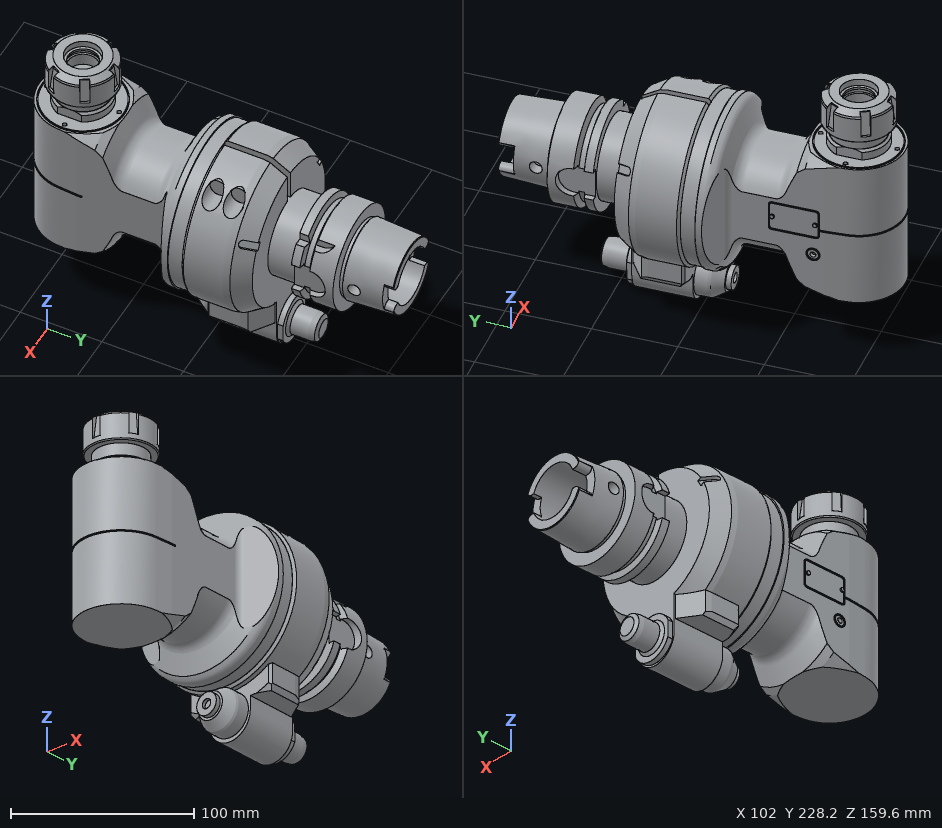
import cadquery as cq
import math


SHANK_END_Y = 201.2
RING_BACK_Y = 126.1
RING_FRONT_Y = 86.0

TAPER_SMALL_R = 23.0
TAPER_LARGE_R = 24.5
TAPER_FRONT_Y = 171.5
TAPER_EDGE_CHAMFER = 0.5
NECK_R = 23.5
FLANGE_R = 31.5
FLANGE_BACK_Y = 169.3
FLANGE_FRONT_Y = 143.0
GRIP_GROOVE_R = 27.5
GRIP_GROOVE_BACK_Y = 152.5
GRIP_GROOVE_FRONT_Y = 149.5
GRIP_GROOVE_CHAMFER_BACK = 1.8
GRIP_GROOVE_CHAMFER_FRONT = 1.1
SHANK_D = 50.5
SHANK_R = SHANK_D / 2
TAIL_BORE_R = 17.0
TAIL_BORE_DEPTH = 29.7
CROSS_HOLE_D = 7.5
CROSS_HOLE_Y = 178.4
DRIVE_SLOT_W = 12.5
DRIVE_SLOT_EDGE_R = 3.2
DRIVE_SLOT_DEPTH_LEFT = 9.5
DRIVE_SLOT_DEPTH_RIGHT = 5.7
KEYWAY_W = 18.2
KEYWAY_FLOOR_X = 26.5
KEYWAY_TIP_Y = 164.5
NOTCH_FLOOR_X = 19.8
NOTCH_FLOOR_Z = 19.8
NOTCH_TIP_Y = 165.8

RING_D = 102.0
RING_R = RING_D / 2
RING_BACK_R = 43.8
RING_CONE_R = 50.2
RING_CONE_FRONT_Y = 115.6
RING_ROUND_FRONT_Y = 111.5
RING_CHAMFER = 1.5
SPLIT_W = 3.6
SCREW_YS = (108.1, 95.1)
SCREW_Z = 40.5
SCREW_HOLE_D = 11.0
SCREW_HOLE_FLOOR_X = 18.2
SCREW_HEAD_D = 10.5
SCREW_HEAD_END_X = 23.5
SCREW_D = 6.0
CONE_SLOT_W = 5.0
CONE_SLOT_LENGTH = 10.5
CONE_SLOT_DEPTH = 2.3
CONE_SLOT_ANGLES = (30, 150)
LUG_HALF_W = 29.5
LUG_BACK_HALF_W = 13.7
LUG_FRONT_Y = 90.8
LUG_BOTTOM_Z = -57.5
LUG_TOP_Z = -32.0
LUG_CHAMFER = 1.5
LUG_CORNER_CHAMFER_X = 2.0
LUG_CORNER_CHAMFER_Z = 3.5
LUG_FACE_R = 60.7
LUG_CORNER_R = 65.0
BOSS_R = 14.8
BOSS_Z = -66.1

PIN_Z = -65.0
PIN_ROD_R = 9.0
PIN_TIP_Y = 71.5
PIN_TIP_R = 7.0
PIN_CONE_FRONT_Y = 74.5
PIN_CONE_FRONT_R = 8.7
PIN_CONE_BACK_Y = 81.2
PIN_CONE_BACK_R = 13.0
PIN_HEAD_FRONT_Y = 82.8
PIN_HEAD_R = 13.5
PIN_COLLAR_R = 14.5
PIN_COLLAR_T = 3.5
PIN_COLLAR_FLATS = 27.0
PIN_SHOULDER_R = 10.7
PIN_SHOULDER_T = 1.8
PIN_ROD_END_Y = 142.5
PIN_END_CONE_R = 8.2
PIN_END_CONE_Y = 146.0
PIN_END_FACE_R = 5.7
PIN_END_Y = 147.4
PIN_SOCKET_D = 6.0
PIN_SOCKET_DEPTH = 2.3

HEAD_HALF_W = 27.8
HEAD_HALF_H = 45.0
HEAD_FRONT_R = 27.0
HEAD_SIDE_FRONT_Y = 10.3
HEAD_NECK_R = 32.0
HEAD_COLLAR_R = 50.2
HEAD_RECESS_R = 49.3
HEAD_BULGE_R = 53.5
COLLAR_STEP_Y = 77.3
COLLAR_FRONT_Y = 73.5
COLLAR_ROUND_MID = (49.3, 71.0)
COLLAR_CONE_BACK = (47.0, 68.7)
COLLAR_CONE_FRONT = (35.5, 63.6)
NECK_BACK_MID = (32.8, 61.0)
NECK_BACK_Y = 57.0
NECK_FRONT_Y = 38.5
NECK_FRONT_MID = (33.0, 34.7)
FRONT_CONE_START = (36.5, 31.7)
FRONT_CONE_BEND = (45.6, 26.2)
FRONT_CONE_END = (48.5, 21.5)
BULGE_MID = (51.0, 11.2)
SIDE_BACK_Y = 63.6
SIDE_FILLET_MID_DX = 1.0
SIDE_FILLET_MID_Y = 65.7
SIDE_FACET_DX = 3.0
SIDE_FACET_FRONT_Y = 67.0
SIDE_FACET_BACK_Y = 73.7
ENGRAVING_W = 0.7
ENGRAVING_DEPTH = 0.5
COVER_GROOVE_R = 25.3
COVER_HOLE_D = 2.5
COVER_HOLE_R = 22.1
COVER_HOLE_DEPTH = 2.3
PLATE_FRONT_Y = 13.2
PLATE_BACK_Y = 42.7
PLATE_TOP_Z = 12.8
PLATE_BOTTOM_Z = -5.7
PLATE_CORNER_R = 2.0
RIVET_D = 2.5
RIVET_H = 1.0
RIVET_INSET = 2.3
PLUG_D = 8.0
PLUG_SOCKET_D = 3.2
PLUG_SOCKET_DEPTH = 2.3
PLUG_Y = 16.9
PLUG_Z = -16.9

SPINDLE_COLLAR_R = 17.8
SPINDLE_COLLAR_TOP_Z = 51.3
SPINDLE_CHAMFER = 1.4
SPINDLE_NECK_R = 16.2
NUT_R = 21.0
NUT_BOTTOM_Z = 58.8
NUT_TOP_Z = 78.7
NUT_FACE_R = 16.5
NUT_CONE_R = 20.5
NUT_CONE_BOTTOM_Z = 76.0
NUT_SIDE_TOP_Z = 74.8
NUT_BOTTOM_CHAMFER = 0.7
NUT_BORE_R = 10.7
NUT_BORE_DEPTH = 4.0
COLLET_D = 18.0
COLLET_LIP_DEPTH = 5.5
COLLET_GROOVE_R = 10.3
COLLET_GROOVE_DEPTH = 8.2
COLLET_DEPTH = 16.0
NUT_SLOT_COUNT = 6
NUT_SLOT_W = 5.5
NUT_SLOT_TOP_Z = 77.5
NUT_SLOT_BOTTOM_Z = 62.7
NUT_SLOT_TOP_R = 17.3
NUT_SLOT_BOTTOM_R = 19.6


def box(x0, x1, y0, y1, z0, z1):
    """Box between two values along each axis."""
    return cq.Workplane("XY").box(x1 - x0, y1 - y0, z1 - z0, centered=False).translate((x0, y0, z0))


def rod(start, direction, radius, length):
    """Cylinder from a start point along a direction."""
    return cq.Workplane(cq.Solid.makeCylinder(radius, length, cq.Vector(*start), cq.Vector(*direction)))


def turn_about_y(points):
    """Solid of revolution about Y from (radius, y) points."""
    return cq.Workplane("XY").polyline(points).close().revolve(360, (0, 0, 0), (0, 1, 0))


def pocket_with_round_end(tip_y, front_y, width):
    """Outline in the YZ plane of a slot centred on Z = 0, open at front_y and round at tip_y."""
    half = width / 2
    center_y = tip_y - half
    return (
        cq.Workplane("YZ")
        .moveTo(front_y, -half)
        .lineTo(center_y, -half)
        .threePointArc((tip_y, 0), (center_y, half))
        .lineTo(front_y, half)
        .close()
    )


def drive_slot(side, depth):
    """Cutter for a slot in the tail end, with rounded outer edges; side is -1 or 1 along X."""
    half = DRIVE_SLOT_W / 2
    flare = half + DRIVE_SLOT_EDGE_R
    outer_x = math.sqrt(TAPER_SMALL_R**2 - flare**2)
    inner_x = outer_x - DRIVE_SLOT_EDGE_R
    mid = DRIVE_SLOT_EDGE_R * math.sqrt(0.5)
    cutter = (
        cq.Workplane("XZ", origin=(0, SHANK_END_Y - depth, 0))
        .moveTo(0, -half)
        .lineTo(side * inner_x, -half)
        .threePointArc((side * (inner_x + mid), mid - flare), (side * outer_x, -flare))
        .lineTo(side * FLANGE_R, -flare)
        .lineTo(side * FLANGE_R, flare)
        .lineTo(side * outer_x, flare)
        .threePointArc((side * (inner_x + mid), flare - mid), (side * inner_x, half))
        .lineTo(0, half)
        .close()
    )
    return cutter.extrude(-depth)


def make_shank():
    shank = turn_about_y([
        (0, RING_FRONT_Y),
        (SHANK_R, RING_FRONT_Y),
        (SHANK_R, FLANGE_FRONT_Y),
        (FLANGE_R, FLANGE_FRONT_Y),
        (FLANGE_R, GRIP_GROOVE_FRONT_Y - GRIP_GROOVE_CHAMFER_FRONT),
        (GRIP_GROOVE_R, GRIP_GROOVE_FRONT_Y),
        (GRIP_GROOVE_R, GRIP_GROOVE_BACK_Y),
        (FLANGE_R, GRIP_GROOVE_BACK_Y + GRIP_GROOVE_CHAMFER_BACK),
        (FLANGE_R, FLANGE_BACK_Y),
        (NECK_R, FLANGE_BACK_Y),
        (NECK_R, TAPER_FRONT_Y),
        (TAPER_LARGE_R, TAPER_FRONT_Y),
        (TAPER_SMALL_R, SHANK_END_Y - TAPER_EDGE_CHAMFER),
        (TAPER_SMALL_R - TAPER_EDGE_CHAMFER, SHANK_END_Y),
        (0, SHANK_END_Y),
    ])
    shank = shank.cut(rod((0, SHANK_END_Y, 0), (0, -1, 0), TAIL_BORE_R, TAIL_BORE_DEPTH))
    shank = shank.cut(rod((-FLANGE_R, CROSS_HOLE_Y, 0), (1, 0, 0), CROSS_HOLE_D / 2, 2 * FLANGE_R))
    shank = shank.cut(drive_slot(-1, DRIVE_SLOT_DEPTH_LEFT))
    shank = shank.cut(drive_slot(1, DRIVE_SLOT_DEPTH_RIGHT))

    keyway = pocket_with_round_end(KEYWAY_TIP_Y, FLANGE_FRONT_Y, KEYWAY_W).extrude(FLANGE_R)
    shank = shank.cut(keyway.translate((KEYWAY_FLOOR_X, 0, 0)))
    shank = shank.cut(keyway.translate((-KEYWAY_FLOOR_X - FLANGE_R, 0, 0)))

    notch = pocket_with_round_end(NOTCH_TIP_Y, FLANGE_FRONT_Y, KEYWAY_W).extrude(FLANGE_R)
    return shank.cut(notch.translate((NOTCH_FLOOR_X, 0, NOTCH_FLOOR_Z + KEYWAY_W / 2)))


def cone_slot(angle):
    """Cutter for a wrench slot that runs down the back cone of the clamp ring."""
    cone_length_y = RING_BACK_Y - RING_CONE_FRONT_Y
    tilt = math.degrees(math.atan2(RING_CONE_R - RING_BACK_R, cone_length_y))
    slot = (
        cq.Workplane("YZ")
        .slot2D(2 * CONE_SLOT_LENGTH, CONE_SLOT_W)
        .extrude(2 * CONE_SLOT_DEPTH, both=True)
        .translate((CONE_SLOT_DEPTH, 0, 0))
    )
    slot = slot.rotate((0, 0, 0), (0, 0, 1), tilt)
    return slot.translate((RING_BACK_R, RING_BACK_Y, 0)).rotate((0, 0, 0), (0, 1, 0), -angle)


def make_lug():
    """Block under the clamp ring, with the round boss that holds the locating pin."""
    block = (
        cq.Workplane("XY", origin=(0, 0, LUG_BOTTOM_Z))
        .polyline([
            (-LUG_HALF_W, LUG_FRONT_Y + LUG_CHAMFER),
            (-LUG_HALF_W + LUG_CHAMFER, LUG_FRONT_Y),
            (LUG_HALF_W - LUG_CHAMFER, LUG_FRONT_Y),
            (LUG_HALF_W, LUG_FRONT_Y + LUG_CHAMFER),
            (LUG_HALF_W, RING_ROUND_FRONT_Y),
            (LUG_HALF_W - RING_R + RING_CONE_R, RING_CONE_FRONT_Y),
            (LUG_BACK_HALF_W, RING_BACK_Y),
            (-LUG_BACK_HALF_W, RING_BACK_Y),
            (-LUG_HALF_W + RING_R - RING_CONE_R, RING_CONE_FRONT_Y),
            (-LUG_HALF_W, RING_ROUND_FRONT_Y),
        ])
        .close()
        .extrude(LUG_TOP_Z - LUG_BOTTOM_Z)
    )
    for side in (-1, 1):
        corner = (
            cq.Workplane("XZ", origin=(0, LUG_FRONT_Y, 0))
            .polyline([
                (side * LUG_HALF_W, LUG_BOTTOM_Z),
                (side * LUG_HALF_W, LUG_BOTTOM_Z + LUG_CORNER_CHAMFER_Z),
                (side * (LUG_HALF_W - LUG_CORNER_CHAMFER_X), LUG_BOTTOM_Z),
            ])
            .close()
            .extrude(LUG_FRONT_Y - RING_BACK_Y)
        )
        block = block.cut(corner)
    front_bevel = turn_about_y([
        (LUG_FACE_R, LUG_FRONT_Y),
        (LUG_CORNER_R, LUG_FRONT_Y),
        (LUG_CORNER_R, LUG_FRONT_Y + LUG_CORNER_R - LUG_FACE_R),
    ])
    block = block.cut(front_bevel)
    boss = rod((0, LUG_FRONT_Y, BOSS_Z), (0, 1, 0), BOSS_R, RING_BACK_Y - LUG_FRONT_Y)
    web = box(-BOSS_R, BOSS_R, LUG_FRONT_Y, RING_BACK_Y, BOSS_Z, LUG_TOP_Z)
    return block.union(boss).union(web)


def make_clamp_ring():
    ring = turn_about_y([
        (0, RING_FRONT_Y),
        (RING_R - RING_CHAMFER, RING_FRONT_Y),
        (RING_R, RING_FRONT_Y + RING_CHAMFER),
        (RING_R, RING_ROUND_FRONT_Y),
        (RING_CONE_R, RING_CONE_FRONT_Y),
        (RING_BACK_R, RING_BACK_Y),
        (0, RING_BACK_Y),
    ])
    ring = ring.union(make_lug())
    ring_length = RING_BACK_Y - RING_FRONT_Y
    ring = ring.cut(rod((0, RING_FRONT_Y, 0), (0, 1, 0), SHANK_R, ring_length))
    ring = ring.cut(rod((0, RING_FRONT_Y, PIN_Z), (0, 1, 0), PIN_ROD_R, ring_length))

    ring = ring.cut(box(-SPLIT_W / 2, SPLIT_W / 2, RING_FRONT_Y, RING_BACK_Y, 0, RING_R))
    head_length = SCREW_HEAD_END_X - SCREW_HOLE_FLOOR_X
    for y in SCREW_YS:
        floor = (SCREW_HOLE_FLOOR_X, y, SCREW_Z)
        ring = ring.cut(rod(floor, (1, 0, 0), SCREW_HOLE_D / 2, RING_R))
        ring = ring.union(rod(floor, (1, 0, 0), SCREW_HEAD_D / 2, head_length))
        ring = ring.union(rod((-SPLIT_W / 2, y, SCREW_Z), (1, 0, 0), SCREW_D / 2, SPLIT_W))

    for angle in CONE_SLOT_ANGLES:
        ring = ring.cut(cone_slot(angle))
    return ring


def make_pin():
    collar_back_y = RING_BACK_Y + PIN_COLLAR_T
    pin = turn_about_y([
        (0, PIN_TIP_Y),
        (PIN_TIP_R, PIN_TIP_Y),
        (PIN_TIP_R, PIN_CONE_FRONT_Y),
        (PIN_CONE_FRONT_R, PIN_CONE_FRONT_Y),
        (PIN_CONE_BACK_R, PIN_CONE_BACK_Y),
        (PIN_HEAD_R, PIN_HEAD_FRONT_Y),
        (PIN_HEAD_R, LUG_FRONT_Y),
        (PIN_ROD_R, LUG_FRONT_Y),
        (PIN_ROD_R, RING_BACK_Y),
        (PIN_COLLAR_R, RING_BACK_Y),
        (PIN_COLLAR_R, collar_back_y),
        (PIN_SHOULDER_R, collar_back_y),
        (PIN_ROD_R, collar_back_y + PIN_SHOULDER_T),
        (PIN_ROD_R, PIN_ROD_END_Y),
        (PIN_END_CONE_R, PIN_END_CONE_Y),
        (PIN_END_FACE_R, PIN_END_Y),
        (0, PIN_END_Y),
    ])
    half_flats = PIN_COLLAR_FLATS / 2
    for side in (-1, 1):
        x_near, x_far = sorted((side * half_flats, side * PIN_COLLAR_R))
        pin = pin.cut(box(x_near, x_far, RING_BACK_Y, collar_back_y, -PIN_COLLAR_R, PIN_COLLAR_R))
    pin = pin.cut(rod((0, PIN_TIP_Y, 0), (0, 1, 0), PIN_SOCKET_D / 2, PIN_SOCKET_DEPTH))
    return pin.translate((0, 0, PIN_Z))


def head_plan(inset):
    """Outline of the head in the XY plane, moved inward by inset at the front and sides."""
    front_r = HEAD_FRONT_R - inset
    half_w = HEAD_HALF_W - inset
    reach = math.hypot(half_w, HEAD_SIDE_FRONT_Y)
    angle = math.atan2(HEAD_SIDE_FRONT_Y, half_w) - math.acos(front_r / reach)
    tangent_x = front_r * math.cos(angle)
    tangent_y = front_r * math.sin(angle)
    facet_x = half_w + SIDE_FACET_DX
    return (
        cq.Workplane("XY", origin=(0, 0, -RING_R))
        .moveTo(-tangent_x, tangent_y)
        .threePointArc((0, -front_r), (tangent_x, tangent_y))
        .lineTo(half_w, HEAD_SIDE_FRONT_Y)
        .lineTo(half_w, SIDE_BACK_Y)
        .threePointArc((half_w + SIDE_FILLET_MID_DX, SIDE_FILLET_MID_Y), (facet_x, SIDE_FACET_FRONT_Y))
        .lineTo(RING_R, SIDE_FACET_BACK_Y)
        .lineTo(RING_R, RING_FRONT_Y)
        .lineTo(-RING_R, RING_FRONT_Y)
        .lineTo(-RING_R, SIDE_FACET_BACK_Y)
        .lineTo(-facet_x, SIDE_FACET_FRONT_Y)
        .threePointArc((-half_w - SIDE_FILLET_MID_DX, SIDE_FILLET_MID_Y), (-half_w, SIDE_BACK_Y))
        .lineTo(-half_w, HEAD_SIDE_FRONT_Y)
        .close()
        .extrude(2 * RING_R)
    )


def make_head():
    turned = (
        cq.Workplane("XY")
        .moveTo(0, RING_FRONT_Y)
        .lineTo(HEAD_RECESS_R, RING_FRONT_Y)
        .lineTo(HEAD_RECESS_R, COLLAR_STEP_Y)
        .lineTo(HEAD_COLLAR_R, COLLAR_STEP_Y)
        .lineTo(HEAD_COLLAR_R, COLLAR_FRONT_Y)
        .threePointArc(COLLAR_ROUND_MID, COLLAR_CONE_BACK)
        .lineTo(*COLLAR_CONE_FRONT)
        .threePointArc(NECK_BACK_MID, (HEAD_NECK_R, NECK_BACK_Y))
        .lineTo(HEAD_NECK_R, NECK_FRONT_Y)
        .threePointArc(NECK_FRONT_MID, FRONT_CONE_START)
        .lineTo(*FRONT_CONE_BEND)
        .lineTo(*FRONT_CONE_END)
        .threePointArc(BULGE_MID, (HEAD_BULGE_R, -HEAD_FRONT_R / 2))
        .lineTo(HEAD_BULGE_R, -HEAD_FRONT_R)
        .lineTo(0, -HEAD_FRONT_R)
        .close()
        .revolve(360, (0, 0, 0), (0, 1, 0))
    )
    front_block = box(-RING_R, RING_R, -HEAD_FRONT_R, NECK_FRONT_Y, -HEAD_HALF_H, HEAD_HALF_H)
    collar_space = box(-RING_R, RING_R, NECK_FRONT_Y, RING_FRONT_Y, -RING_R, RING_R)
    head = turned.intersect(head_plan(0)).intersect(front_block.union(collar_space))

    band = box(-RING_R, RING_R, -HEAD_FRONT_R, PLATE_FRONT_Y, -ENGRAVING_W / 2, ENGRAVING_W / 2)
    head = head.cut(band.cut(head_plan(ENGRAVING_DEPTH)))

    cover_groove = (
        cq.Workplane("XY", origin=(0, 0, HEAD_HALF_H - ENGRAVING_DEPTH))
        .circle(COVER_GROOVE_R)
        .circle(COVER_GROOVE_R - ENGRAVING_W)
        .extrude(ENGRAVING_DEPTH)
    )
    head = head.cut(cover_groove)
    cover_holes = (
        cq.Workplane("XY", origin=(0, 0, HEAD_HALF_H - COVER_HOLE_DEPTH))
        .polarArray(COVER_HOLE_R, 0, 360, 4)
        .circle(COVER_HOLE_D / 2)
        .extrude(COVER_HOLE_DEPTH)
    )
    head = head.cut(cover_holes)

    plate_length = PLATE_BACK_Y - PLATE_FRONT_Y
    plate_height = PLATE_TOP_Z - PLATE_BOTTOM_Z
    plate_y = (PLATE_BACK_Y + PLATE_FRONT_Y) / 2
    plate_z = (PLATE_TOP_Z + PLATE_BOTTOM_Z) / 2
    plate = cq.Workplane("YZ").rect(plate_length, plate_height).extrude(ENGRAVING_DEPTH)
    plate = plate.edges("|X").fillet(PLATE_CORNER_R)
    inner_length = plate_length - 2 * ENGRAVING_W
    inner_height = plate_height - 2 * ENGRAVING_W
    inner = cq.Workplane("YZ").rect(inner_length, inner_height).extrude(ENGRAVING_DEPTH)
    inner = inner.edges("|X").fillet(PLATE_CORNER_R - ENGRAVING_W)
    head = head.cut(plate.cut(inner).translate((-HEAD_HALF_W, plate_y, plate_z)))
    for y in (PLATE_FRONT_Y + RIVET_INSET, PLATE_BACK_Y - RIVET_INSET):
        head = head.union(rod((-HEAD_HALF_W, y, plate_z), (-1, 0, 0), RIVET_D / 2, RIVET_H))

    plug_groove = (
        cq.Workplane("YZ", origin=(-HEAD_HALF_W, PLUG_Y, PLUG_Z))
        .circle(PLUG_D / 2)
        .circle(PLUG_D / 2 - ENGRAVING_W)
        .extrude(ENGRAVING_DEPTH)
    )
    head = head.cut(plug_groove)
    return head.cut(rod((-HEAD_HALF_W, PLUG_Y, PLUG_Z), (1, 0, 0), PLUG_SOCKET_D / 2, PLUG_SOCKET_DEPTH))


def make_spindle():
    spindle = (
        cq.Workplane("XZ")
        .polyline([
            (0, HEAD_HALF_H),
            (SPINDLE_COLLAR_R, HEAD_HALF_H),
            (SPINDLE_COLLAR_R, SPINDLE_COLLAR_TOP_Z - SPINDLE_CHAMFER),
            (SPINDLE_COLLAR_R - SPINDLE_CHAMFER, SPINDLE_COLLAR_TOP_Z),
            (SPINDLE_NECK_R, SPINDLE_COLLAR_TOP_Z),
            (SPINDLE_NECK_R, NUT_BOTTOM_Z),
            (NUT_R - NUT_BOTTOM_CHAMFER, NUT_BOTTOM_Z),
            (NUT_R, NUT_BOTTOM_Z + NUT_BOTTOM_CHAMFER),
            (NUT_R, NUT_SIDE_TOP_Z),
            (NUT_CONE_R, NUT_CONE_BOTTOM_Z),
            (NUT_FACE_R, NUT_TOP_Z),
            (NUT_BORE_R, NUT_TOP_Z),
            (NUT_BORE_R, NUT_TOP_Z - NUT_BORE_DEPTH),
            (COLLET_D / 2, NUT_TOP_Z - NUT_BORE_DEPTH),
            (COLLET_D / 2, NUT_TOP_Z - COLLET_LIP_DEPTH),
            (COLLET_GROOVE_R, NUT_TOP_Z - COLLET_LIP_DEPTH),
            (COLLET_GROOVE_R, NUT_TOP_Z - COLLET_GROOVE_DEPTH),
            (COLLET_D / 2, NUT_TOP_Z - COLLET_GROOVE_DEPTH),
            (COLLET_D / 2, NUT_TOP_Z - COLLET_DEPTH),
            (0, NUT_TOP_Z - COLLET_DEPTH),
        ])
        .close()
        .revolve(360, (0, 0, 0), (0, 1, 0))
    )

    for side in (-1, 1):
        x_near, x_far = sorted((side * SPINDLE_NECK_R, side * SPINDLE_COLLAR_R))
        flat = box(x_near, x_far, -NUT_R, NUT_R, HEAD_HALF_H, SPINDLE_COLLAR_TOP_Z)
        spindle = spindle.cut(flat)

    slot = (
        cq.Workplane("YZ")
        .polyline([
            (-NUT_SLOT_TOP_R, NUT_SLOT_TOP_Z),
            (-NUT_SLOT_BOTTOM_R, NUT_SLOT_BOTTOM_Z),
            (-NUT_R, NUT_SLOT_BOTTOM_Z),
            (-NUT_R, NUT_SLOT_TOP_Z),
        ])
        .close()
        .extrude(NUT_SLOT_W / 2, both=True)
    )
    for i in range(NUT_SLOT_COUNT):
        spindle = spindle.cut(slot.rotate((0, 0, 0), (0, 0, 1), i * 360 / NUT_SLOT_COUNT))
    return spindle


shank = make_shank()
clamp_ring = make_clamp_ring()
head = make_head()
spindle = make_spindle()
pin = make_pin()

result = cq.Compound.makeCompound([
    shank.val(),
    clamp_ring.val(),
    head.val(),
    spindle.val(),
    pin.val(),
])